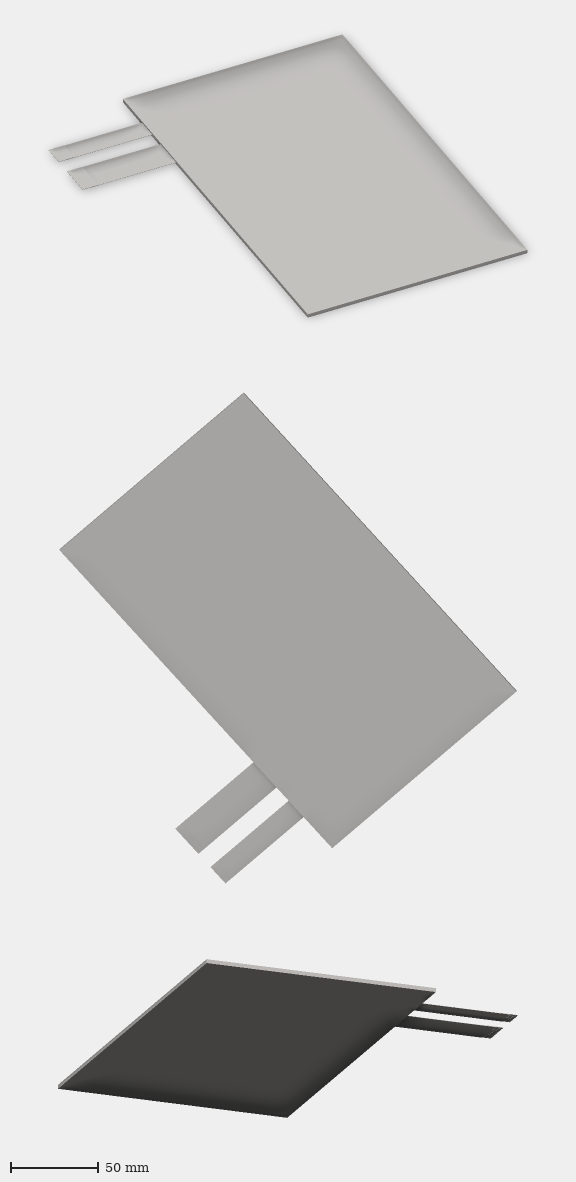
import cadquery as cq

PANEL_LENGTH = 236.5
PANEL_WIDTH = 141.0
PANEL_THICKNESS = 2.35

TAIL_LENGTH = 60.0
TAIL_THICKNESS = 0.2
TAIL_BOTTOM = PANEL_THICKNESS / 2 - TAIL_THICKNESS / 2
NARROW_TAIL_OFFSET = 24.5
NARROW_TAIL_WIDTH = 13.0
WIDE_TAIL_OFFSET = 48.0
WIDE_TAIL_WIDTH = 20.0

STIFFENER_LENGTH = 10.0
STIFFENER_THICKNESS = 0.2

TIP_LENGTH = 5.0
TIP_RELIEF = 0.15
FINGER_PITCH = 1.0
FINGER_WIDTH = 0.5
FINGER_THICKNESS = 0.03

PANEL_LEFT = -PANEL_LENGTH / 2
PANEL_FRONT = -PANEL_WIDTH / 2
TAIL_END = PANEL_FRONT - TAIL_LENGTH
TAIL_TOP = TAIL_BOTTOM + TAIL_THICKNESS
TIP_START = TAIL_END + TIP_LENGTH
TIP_BOTTOM = TAIL_BOTTOM + TIP_RELIEF


def make_panel():
    return cq.Workplane("XY").box(
        PANEL_LENGTH, PANEL_WIDTH, PANEL_THICKNESS, centered=(True, True, False)
    )


def make_tail_strip(left, width):
    """Stepped side profile of one tail, extruded across the tail's width."""
    stiffener_start = TAIL_END + STIFFENER_LENGTH
    stiffener_top = TAIL_TOP + STIFFENER_THICKNESS
    return (
        cq.Workplane("YZ", origin=(left, 0, 0))
        .moveTo(PANEL_FRONT, TAIL_BOTTOM)
        .lineTo(PANEL_FRONT, TAIL_TOP)
        .lineTo(stiffener_start, TAIL_TOP)
        .lineTo(stiffener_start, stiffener_top)
        .lineTo(TAIL_END, stiffener_top)
        .lineTo(TAIL_END, TIP_BOTTOM)
        .lineTo(TIP_START, TIP_BOTTOM)
        .lineTo(TIP_START, TAIL_BOTTOM)
        .close()
        .extrude(width)
    )


def make_fingers(left, width):
    """Row of contact fingers, centred across the tail, hanging below the tip."""
    finger_count = round(width / FINGER_PITCH)
    return (
        cq.Workplane("XY", origin=(left + width / 2, TAIL_END + TIP_LENGTH / 2, TIP_BOTTOM))
        .rarray(FINGER_PITCH, TIP_LENGTH, finger_count, 1)
        .rect(FINGER_WIDTH, TIP_LENGTH)
        .extrude(-FINGER_THICKNESS)
    )


def make_tail(offset, width):
    left = PANEL_LEFT + offset
    return make_tail_strip(left, width).union(make_fingers(left, width))


narrow_tail = make_tail(NARROW_TAIL_OFFSET, NARROW_TAIL_WIDTH)
wide_tail = make_tail(WIDE_TAIL_OFFSET, WIDE_TAIL_WIDTH)
result = make_panel().union(narrow_tail).union(wide_tail)